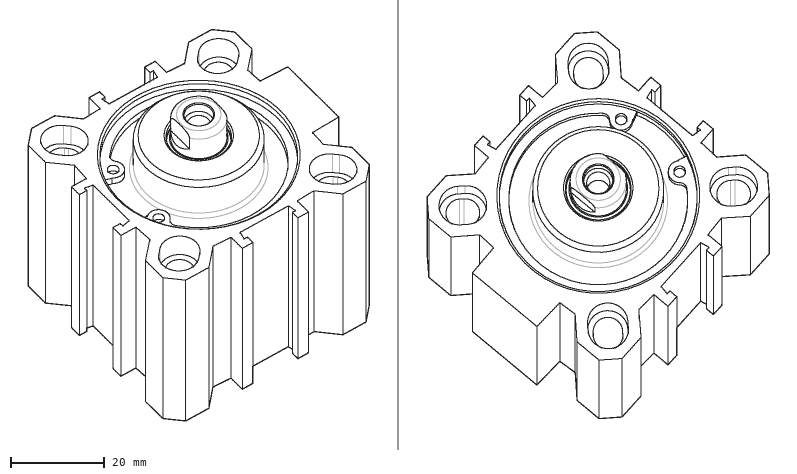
import cadquery as cq
import math


housing_height = 44.3
collar_top = 50.4
rod_top = 57.0
cover_flange_top = 40.3
cover_flange_thickness = 5.8
cover_bottom = cover_flange_top - cover_flange_thickness

body_half_width = 27.5
corner_chamfer = 3.5
corner_flat_end = 17.8
corner_foot = (13.45, 23.1)
wall_offset = 23.3
rib_outer_edge = 8.8
rib_top = 27.3
rib_lip_edge = 6.0
rib_lip_base = 25.35
rib_groove_edge = 6.85
rib_foot_edge = 6.45
port_block_top = 30.5
port_block_top_edge = 9.1
port_block_foot_edge = 9.35

mount_offset = 20.5
mount_hole_diameter = 6.25
mount_hole_stretch = 0.9
counterbore_diameter = 8.6
counterbore_stretch = 1.55
counterbore_depth = 5.8

bore_mouth_diameter = 42.2
bore_diameter = 41.7
bore_chamfer = 0.5

ring_outer_diameter = 44.7
ring_inner_diameter = 38.15
ring_thickness = 1.75
ring_tilt = -2.2
ring_lug_radius = 2.45
ring_lug_distance = 18.4
ring_lug_angle = 27.7
ring_lug_hole_diameter = 2.5
ring_lug_blend = 1.6

collar_diameter = 27.95
collar_chamfer_width = 1.05
collar_chamfer_height = 1.2
collar_fillet = 0.8
wiper_recess_diameter = 14.0
wiper_recess_depth = 1.6
wiper_recess_chamfer = 0.4
wiper_lip_base_diameter = 13.7
wiper_lip_tip_diameter = 12.5
wiper_lip_height = 0.8

rod_diameter = 12.0
rod_fillet = 1.3
flats_width = 10.0
flats_bottom = 52.3
thread_diameter = 6.25
thread_depth = 2.45
thread_chamfer = 0.25
thread_runout = 0.6
pilot_diameter = 4.95
pilot_depth = 9.3
drill_tip_half_angle = 82.0


def cylinder(diameter, bottom, top):
    return cq.Workplane("XY").workplane(offset=bottom).circle(diameter / 2).extrude(top - bottom)


def cone(lower_diameter, upper_diameter, bottom, top):
    return cq.Workplane(
        cq.Solid.makeCone(lower_diameter / 2, upper_diameter / 2, top - bottom, cq.Vector(0, 0, bottom))
    )


def side_points(half_side, quarter_turns):
    """Points of one housing side, from (distance along, distance out) pairs of its right half."""
    corner = [
        (body_half_width - corner_chamfer, body_half_width),
        (corner_flat_end, body_half_width),
        corner_foot,
    ]
    right_half = corner + half_side
    left_half = [(-along, out) for along, out in right_half]
    angle = quarter_turns * math.pi / 2
    points = []
    for along, out in left_half + right_half[::-1]:
        x = along * math.cos(angle) + out * math.sin(angle)
        y = along * math.sin(angle) - out * math.cos(angle)
        points.append((x, y))
    return points


def housing_outline():
    ribbed_side = [
        (rib_outer_edge, wall_offset),
        (rib_outer_edge, rib_top),
        (rib_lip_edge, rib_top),
        (rib_lip_edge, rib_lip_base),
        (rib_groove_edge, rib_lip_base),
        (rib_foot_edge, wall_offset),
    ]
    port_side = [(port_block_foot_edge, wall_offset), (port_block_top_edge, port_block_top)]
    points = []
    for quarter_turns, half_side in enumerate([ribbed_side, ribbed_side, port_side, ribbed_side]):
        points += side_points(half_side, quarter_turns)
    return points


def mounting_slot(diameter, stretch, bottom, angle):
    """Vertical cutter through the top face, stretched along the diagonal at the given angle."""
    return (
        cq.Workplane("XY")
        .workplane(offset=bottom)
        .center(math.sqrt(2) * mount_offset, 0)
        .slot2D(diameter + stretch, diameter)
        .extrude(housing_height - bottom)
        .rotate((0, 0, 0), (0, 0, 1), angle)
    )


def make_housing():
    body = cq.Workplane("XY").polyline(housing_outline()).close().extrude(housing_height)
    chamfer_diameter = bore_mouth_diameter + 2 * bore_chamfer
    groove_top = cover_flange_top + ring_thickness
    body = body.cut(cylinder(bore_diameter, cover_bottom, cover_flange_top))
    body = body.cut(cylinder(ring_outer_diameter, cover_flange_top, groove_top))
    body = body.cut(cylinder(bore_mouth_diameter, groove_top, housing_height))
    body = body.cut(
        cone(bore_mouth_diameter, chamfer_diameter, housing_height - bore_chamfer, housing_height)
    )
    counterbore_floor = housing_height - counterbore_depth
    for angle in (45, 135, 225, 315):
        body = body.cut(mounting_slot(mount_hole_diameter, mount_hole_stretch, 0, angle))
        body = body.cut(mounting_slot(counterbore_diameter, counterbore_stretch, counterbore_floor, angle))
    return body


def make_retaining_ring():
    inner_radius = ring_inner_diameter / 2
    lug_angle = math.radians(ring_lug_angle)
    lug_x = ring_lug_distance * math.sin(lug_angle)
    lug_y = -ring_lug_distance * math.cos(lug_angle)
    lug_layout = cq.Workplane("XY").pushPoints([(-lug_x, lug_y), (lug_x, lug_y)])

    gap_half_angle = lug_angle - math.asin(ring_lug_radius / ring_lug_distance)
    gap_reach = ring_outer_diameter
    gap_x = gap_reach * math.tan(gap_half_angle)
    gap = cq.Workplane("XY").polyline([(0, 0), (-gap_x, -gap_reach), (gap_x, -gap_reach)]).close()
    ring = cq.Workplane("XY").circle(ring_outer_diameter / 2).circle(inner_radius).extrude(ring_thickness)
    ring = ring.cut(gap.extrude(ring_thickness))
    ring = ring.union(lug_layout.circle(ring_lug_radius).extrude(ring_thickness))

    crossing_cosine = (inner_radius**2 + ring_lug_distance**2 - ring_lug_radius**2) / (
        2 * inner_radius * ring_lug_distance
    )
    crossing_angle = lug_angle + math.acos(crossing_cosine)
    for side in (-1, 1):
        crossing = (
            side * inner_radius * math.sin(crossing_angle),
            -inner_radius * math.cos(crossing_angle),
            ring_thickness / 2,
        )
        ring = ring.edges(cq.selectors.NearestToPointSelector(crossing)).fillet(ring_lug_blend)

    holes = lug_layout.circle(ring_lug_hole_diameter / 2).extrude(ring_thickness)
    return ring.cut(holes).rotate((0, 0, 0), (0, 0, 1), ring_tilt).translate((0, 0, cover_flange_top))


def cover_blank():
    """Flange and collar, revolved about the cylinder axis, without the rod bore."""
    collar_radius = collar_diameter / 2
    return (
        cq.Workplane("XZ")
        .moveTo(0, cover_bottom)
        .lineTo(bore_diameter / 2, cover_bottom)
        .lineTo(bore_diameter / 2, cover_flange_top)
        .lineTo(collar_radius + collar_fillet, cover_flange_top)
        .radiusArc((collar_radius, cover_flange_top + collar_fillet), collar_fillet)
        .lineTo(collar_radius, collar_top - collar_chamfer_height)
        .lineTo(collar_radius - collar_chamfer_width, collar_top)
        .lineTo(0, collar_top)
        .close()
        .revolve(360, (0, 0), (0, 1))
    )


def make_end_cover():
    recess_mouth = wiper_recess_diameter + 2 * wiper_recess_chamfer
    recess_floor = collar_top - wiper_recess_depth
    chamfer_bottom = collar_top - wiper_recess_chamfer
    lip_tip = recess_floor + wiper_lip_height
    cover = cover_blank()
    cover = cover.cut(cylinder(wiper_recess_diameter, recess_floor, collar_top))
    cover = cover.cut(cone(wiper_recess_diameter, recess_mouth, chamfer_bottom, collar_top))
    cover = cover.union(cone(wiper_lip_base_diameter, wiper_lip_tip_diameter, recess_floor, lip_tip))
    return cover.cut(cylinder(rod_diameter, cover_bottom, collar_top))


def wrench_flat_cutter():
    """Cuts the -Y flat, with a 45 degree run-out at its lower end."""
    flat_y = flats_width / 2
    runout = rod_diameter - flat_y
    return (
        cq.Workplane("YZ")
        .polyline(
            [
                (-flat_y, rod_top),
                (-flat_y, flats_bottom),
                (-rod_diameter, flats_bottom - runout),
                (-rod_diameter, rod_top),
            ]
        )
        .close()
        .extrude(rod_diameter, both=True)
    )


def make_piston_rod():
    rod = cylinder(rod_diameter, cover_bottom, rod_top).faces(">Z").edges().fillet(rod_fillet)
    flat = wrench_flat_cutter()
    rod = rod.cut(flat).cut(flat.mirror("XZ"))

    thread_bottom = rod_top - thread_depth
    step_bottom = thread_bottom - thread_runout
    pilot_bottom = rod_top - pilot_depth
    tip_bottom = pilot_bottom - pilot_diameter / 2 / math.tan(math.radians(drill_tip_half_angle))
    thread_mouth = thread_diameter + 2 * thread_chamfer
    rod = rod.cut(cone(thread_diameter, thread_mouth, rod_top - thread_chamfer, rod_top))
    rod = rod.cut(cylinder(thread_diameter, thread_bottom, rod_top))
    rod = rod.cut(cone(pilot_diameter, thread_diameter, step_bottom, thread_bottom))
    rod = rod.cut(cylinder(pilot_diameter, pilot_bottom, step_bottom))
    return rod.cut(cone(0, pilot_diameter, tip_bottom, pilot_bottom))


housing = make_housing()
retaining_ring = make_retaining_ring()
end_cover = make_end_cover()
piston_rod = make_piston_rod()

result = cq.Compound.makeCompound(
    [
        *housing.solids().vals(),
        *retaining_ring.solids().vals(),
        *end_cover.solids().vals(),
        *piston_rod.solids().vals(),
    ]
)